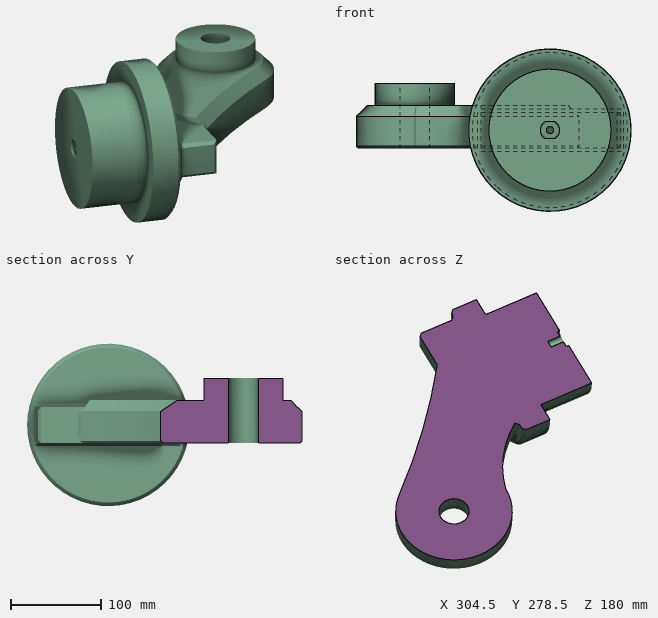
import cadquery as cq
import math


overall_length = 304.5
overall_depth = 278.5

shaft_radius = 67.5
shaft_length = 63.3
flange_diameter = 180.0
flange_radius = flange_diameter / 2
flange_back = 96.8
flange_chamfer = 4.0

recess_radius = 10.7
recess_height = 19.0
recess_depth = 3.0
pilot_radius = 4.0
pilot_depth = 18.3

block_left = -76.5
block_right = 78.0
block_back = 142.0
block_half_height = 19.8
block_chamfer = 3.7
flare = 3.7
block_front = flange_back + flare

head_radius = 64.8
head_x = flange_radius - overall_length + head_radius
head_y = overall_depth - head_radius
arm_bottom = -block_half_height
arm_top = 27.5
arm_top_chamfer = 12.2
arm_bottom_chamfer = 2.0
boss_radius = 44.0
boss_top = 51.7
bore_radius = 16.5

back_tangent_angle = math.radians(43)
back_end = (32.3, block_back)
front_mid = (-108.5, 131.0)
front_end = (block_left, block_front)
pad_right = -24.5
pad_back = 137.0

end_wall_radius = 112.5
end_wall_x = -61.0


def cylinder_along_y(radius, start, end):
    """Cylinder around the shaft axis between two Y positions."""
    return cq.Workplane("XZ", origin=(0, start, 0)).circle(radius).extrude(start - end)


def box_between(low, high):
    """Axis-aligned box given by its two extreme corners."""
    size = [b - a for a, b in zip(low, high)]
    return cq.Workplane("XY").box(*size, centered=False).translate(low)


def make_hub():
    flange = cylinder_along_y(flange_radius, shaft_length, flange_back)
    flange = flange.faces(">Y").chamfer(flange_chamfer)
    return flange.union(cylinder_along_y(shaft_radius, 0, shaft_length))


def make_block():
    block = box_between(
        (block_left, flange_back, -block_half_height),
        (block_right, block_back, block_half_height),
    )
    block = block.faces(">X").edges("not <Y").chamfer(block_chamfer)
    foot = (
        cq.Workplane("XZ", origin=((block_left + block_right) / 2, flange_back, 0))
        .rect(block_right - block_left + 2 * flare, 2 * (block_half_height + flare))
        .workplane(offset=-flare)
        .rect(block_right - block_left, 2 * block_half_height)
        .loft()
    )
    return block.union(foot)


def trim_to_end_wall(body):
    """Above the block, keep only what lies inside the concave end wall."""
    above_block = box_between(
        (end_wall_x, block_front, block_half_height),
        (block_right, block_front + end_wall_radius, arm_top),
    )
    wall = (
        cq.Workplane("XY", origin=(end_wall_x, block_front + end_wall_radius, block_half_height))
        .circle(end_wall_radius)
        .extrude(arm_top - block_half_height)
    )
    return body.cut(above_block.cut(wall))


def chamfer_arm_rims(body):
    """Chamfer the curved top and bottom rims, leaving straight edges square."""
    body = body.faces(">Z").edges("%CIRCLE").chamfer(arm_top_chamfer)
    return body.faces("<Z").edges("%CIRCLE").chamfer(arm_bottom_chamfer)


def back_mid(start):
    """Midpoint of the back arc, which leaves the head tangentially."""
    chord_x = back_end[0] - start[0]
    chord_y = back_end[1] - start[1]
    heading = back_tangent_angle - math.pi / 2
    turn = math.atan2(chord_y, chord_x) - heading
    bulge = math.tan(turn / 2) / 2
    return (
        (start[0] + back_end[0]) / 2 + bulge * chord_y,
        (start[1] + back_end[1]) / 2 - bulge * chord_x,
    )


def make_arm():
    height = arm_top - arm_bottom
    back_x = math.cos(back_tangent_angle)
    back_y = math.sin(back_tangent_angle)
    back_start = (head_x + head_radius * back_x, head_y + head_radius * back_y)
    head_front = (head_x, head_y - head_radius)
    base = cq.Workplane("XY", origin=(0, 0, arm_bottom))

    head = base.center(head_x, head_y).circle(head_radius).extrude(height)

    web = (
        base.moveTo(*front_end)
        .threePointArc(front_mid, head_front)
        .lineTo(head_x, head_y)
        .lineTo(*back_start)
        .threePointArc(back_mid(back_start), back_end)
        .lineTo(back_end[0], block_front)
        .close()
        .extrude(height)
    )
    arm = chamfer_arm_rims(head).union(chamfer_arm_rims(web))

    pad = box_between(
        (block_left, block_front, arm_bottom),
        (pad_right, pad_back, arm_top),
    )
    return trim_to_end_wall(arm.union(pad))


def make_boss():
    return (
        cq.Workplane("XY", origin=(head_x, head_y, arm_bottom))
        .circle(boss_radius)
        .extrude(boss_top - arm_bottom)
    )


def make_bore():
    return (
        cq.Workplane("XY", origin=(head_x, head_y, arm_bottom))
        .circle(bore_radius)
        .extrude(boss_top - arm_bottom)
    )


def make_end_recess():
    """Round recess with flat top and bottom, and a pilot hole in its floor."""
    flats = box_between(
        (-recess_radius, 0, -recess_height / 2),
        (recess_radius, recess_depth, recess_height / 2),
    )
    recess = cylinder_along_y(recess_radius, 0, recess_depth).intersect(flats)
    return recess.union(cylinder_along_y(pilot_radius, 0, pilot_depth))


result = (
    make_hub()
    .union(make_block())
    .union(make_arm())
    .union(make_boss())
    .cut(make_bore())
    .cut(make_end_recess())
)